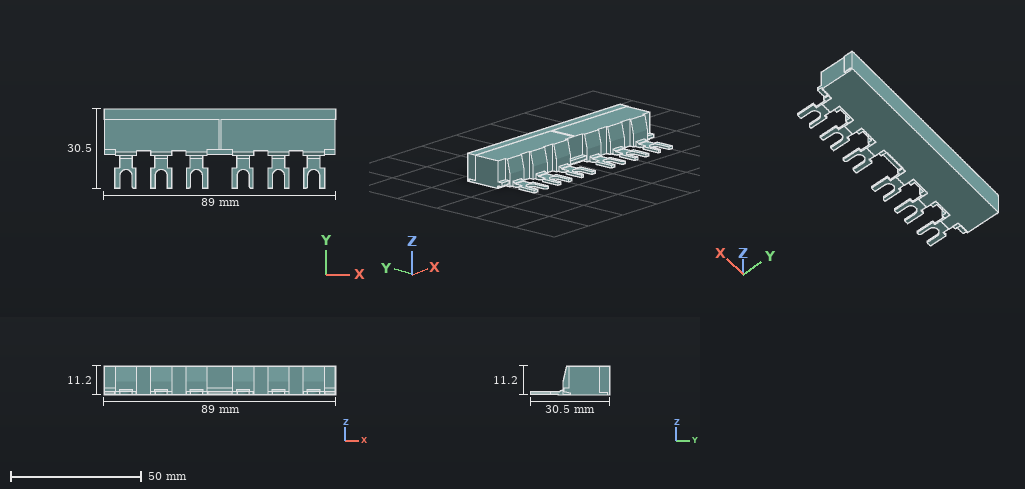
import cadquery as cq


length = 89.0
height = 11.2
back_wall = 4.0
floor_thickness = 0.3
floor_depth = 15.3
reveal = 0.1

housing_length = 88.6
housing_left = -length / 2 + reveal
housing_right = housing_left + housing_length
center_x = (housing_left + housing_right) / 2
housing_top = height - reveal
foot_back = 0.8
foot_top = 1.1
recess_depth = 15.6
gap_depth = 16.1
rib_width = 0.8

ledge_depth = 17.5
ledge_top = 2.7
ledge_lip_bottom = 1.3
ledge_root_depth = 15.1
ledge_root_bottom = 0.8

tooth_width = 8.2
tooth_top_depth = 16.6
tooth_depth = 18.0
tooth_slope_bottom = 5.25
middle_terminal = 22.5
terminal_pitch = 13.5

neck_width = 5.0
blade_bottom = 0.3
blade_top = 1.3
ramp_top = 2.1
ramp_bottom = 1.6
ramp_end_depth = 19.1
collar_end_depth = 19.85
shoulder_depth = 22.7
tip_depth = 30.5
fork_width = 8.2
fork_offset = 0.3
slot_width = 4.5
slot_depth = 23.3
tip_radius = 0.8


def block(x_min, x_max, back, front, z_min, z_max):
    """Box between two X positions, two depths from the back face and two heights."""
    size = (x_max - x_min, front - back, z_max - z_min)
    return cq.Workplane("XY").box(*size, centered=False).translate((x_min, -front, z_min))


def side_profile(points, x_min, x_max):
    """Extrude a closed (depth, height) outline along X."""
    outline = [(-depth, z) for depth, z in points]
    return cq.Workplane("YZ", origin=(x_min, 0, 0)).polyline(outline).close().extrude(x_max - x_min)


def make_cover():
    wall = block(-length / 2, length / 2, 0, back_wall, foot_top, height)
    heel = block(-length / 2, length / 2, 0, foot_back, 0, foot_top)
    floor = block(housing_left, housing_right, 0, floor_depth, 0, floor_thickness)
    rib = block(
        center_x - rib_width / 2, center_x + rib_width / 2, back_wall, recess_depth, housing_top, height
    )
    return wall.union(heel).union(floor).union(rib)


def make_ledge(x_min, x_max):
    return side_profile(
        [
            (ledge_root_depth, ledge_top),
            (ledge_depth, ledge_top),
            (ledge_depth, ledge_lip_bottom),
            (ledge_root_depth, ledge_root_bottom),
        ],
        x_min,
        x_max,
    )


def make_tooth(x):
    return side_profile(
        [
            (ledge_root_depth, floor_thickness),
            (ledge_root_depth, housing_top),
            (tooth_top_depth, housing_top),
            (tooth_depth, tooth_slope_bottom),
            (tooth_depth, floor_thickness),
        ],
        x - tooth_width / 2,
        x + tooth_width / 2,
    )


def make_housing():
    inner = middle_terminal - terminal_pitch
    outer = middle_terminal + terminal_pitch
    body = block(housing_left, housing_right, foot_back, ledge_root_depth, floor_thickness, housing_top)
    body = body.union(
        block(housing_left, housing_right, ledge_root_depth, recess_depth, ledge_top, housing_top)
    )
    for side in (-1, 1):
        ends = sorted((center_x + side * inner, center_x + side * outer))
        body = body.union(block(*ends, ledge_root_depth, gap_depth, floor_thickness, housing_top))
    body = body.union(make_ledge(housing_left, center_x - outer))
    body = body.union(make_ledge(center_x - inner, center_x + inner))
    return body.union(make_ledge(center_x + outer, housing_right))


def make_terminal(x, offset):
    """Terminal whose fork is shifted by offset; the prong it thins gets a rounded inner tip."""
    neck = side_profile(
        [
            (ledge_root_depth, 0),
            (ledge_root_depth, ramp_top),
            (tooth_depth, ramp_top),
            (ramp_end_depth, ramp_bottom),
            (ramp_end_depth, blade_top),
            (shoulder_depth, blade_top),
            (shoulder_depth, blade_bottom),
            (collar_end_depth, blade_bottom),
            (collar_end_depth, 0),
        ],
        -neck_width / 2,
        neck_width / 2,
    )
    fork = block(
        offset - fork_width / 2, offset + fork_width / 2, shoulder_depth, tip_depth, blade_bottom, blade_top
    )
    slot_radius = slot_width / 2
    arc_depth = slot_depth + slot_radius
    slot = (
        cq.Workplane("XY", origin=(0, 0, blade_bottom))
        .moveTo(-slot_radius, -tip_depth)
        .lineTo(-slot_radius, -arc_depth)
        .threePointArc((0, -slot_depth), (slot_radius, -arc_depth))
        .lineTo(slot_radius, -tip_depth)
        .close()
        .extrude(blade_top - blade_bottom)
    )
    fork = fork.cut(slot)
    if offset != 0:
        thin_side = -1 if offset > 0 else 1
        inner_tip = (thin_side * slot_radius, -tip_depth, (blade_bottom + blade_top) / 2)
        fork = fork.edges(cq.selectors.NearestToPointSelector(inner_tip)).fillet(tip_radius)
    return neck.union(fork).translate((x, 0, 0))


result = make_cover().union(make_housing())
for side in (-1, 1):
    for step in (-1, 0, 1):
        terminal_x = center_x + side * (middle_terminal + step * terminal_pitch)
        result = result.union(make_tooth(terminal_x))
        result = result.union(make_terminal(terminal_x, side * step * fork_offset))